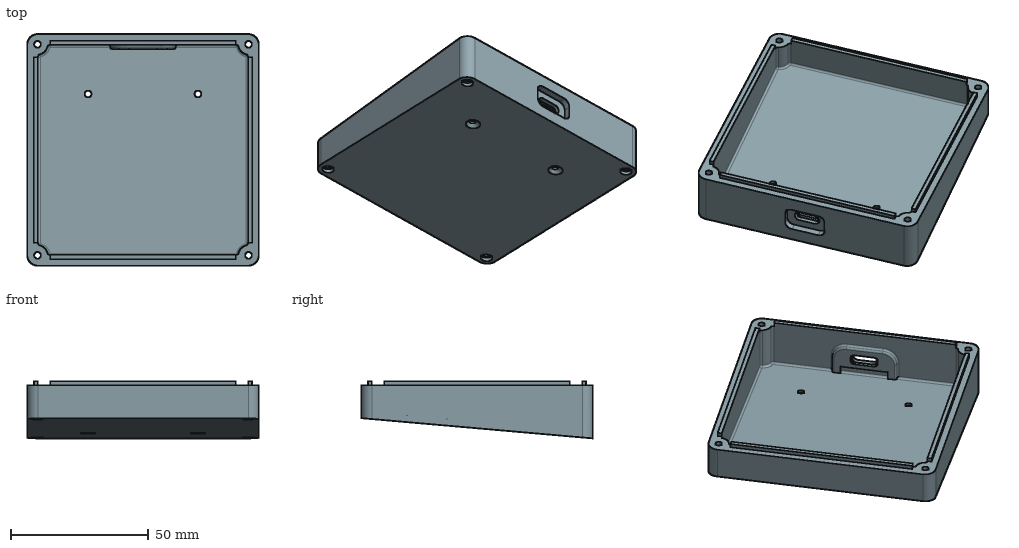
import cadquery as cq
import math

side = 84.45
total_height = 20.9
lip_height = 1.4
corner_radius = 4.0
slope_angle = 5.0
half_side = side / 2
rim_height = total_height - lip_height

wall = 4.0
floor_thickness = 2.5
cavity_fillet = 1.0
floor_fillet = 0.8
inner_face = half_side - wall

post_radius = 3.7
hole_inset = 3.8
hole_diameter = 2.4
counterbore_diameter = 4.2
counterbore_depth = 1.7
hole_offset = half_side - hole_inset

lip_outer_inset = 2.45
lip_end_inset = 8.45
lip_width = wall - lip_outer_inset
lip_length = side - 2 * lip_end_inset

floor_hole_spacing = 40.0
floor_hole_y = 20.35
countersink_diameter = 5.2
countersink_angle = 90.0

pad_width = 23.9
pad_thickness = 1.5
pad_height = 11.8
pad_corner_radius = 5.2
pad_fillet = 0.72

notch_width = 17.6
notch_height = 3.1
notch_depth = 1.0

slot_center_height = 6.8
slot_length = 9.5
slot_height = 3.7
recess_length = 10.1
recess_height = 4.0
recess_corner_radius = 1.5
recess_depth = 1.2
pocket_length = 15.2
pocket_height = 9.3
pocket_corner_radius = 2.5
pocket_depth = 2.5


def bottom_height(y):
    """Height of the sloped underside at a given Y."""
    return (half_side - y) * math.tan(math.radians(slope_angle))


def above_slope(thickness):
    """Large block above a plane lying the given thickness over the underside."""
    rise = thickness / math.cos(math.radians(slope_angle))
    profile = [
        (side, bottom_height(side) + rise),
        (-side, bottom_height(-side) + rise),
        (-side, side),
        (side, side),
    ]
    return cq.Workplane("YZ").polyline(profile).close().extrude(side, both=True)


floor_height = bottom_height(inner_face) + floor_thickness
pad_face = inner_face - pad_thickness
slot_z = floor_height + slot_center_height


def make_cavity():
    posts = (
        cq.Workplane("XY")
        .rect(2 * hole_offset, 2 * hole_offset, forConstruction=True)
        .vertices()
        .circle(post_radius)
        .extrude(rim_height)
    )
    cavity = cq.Workplane("XY").rect(2 * inner_face, 2 * inner_face).extrude(rim_height).cut(posts)
    cavity = cavity.edges("|Z").fillet(cavity_fillet)
    cavity = cavity.intersect(above_slope(floor_thickness))
    return cavity.faces("<Z").edges().fillet(floor_fillet)


def make_body():
    block = cq.Workplane("XY").rect(side, side).extrude(rim_height).edges("|Z").fillet(corner_radius)
    return block.intersect(above_slope(0)).cut(make_cavity())


def make_lip():
    """Lip strip along the rear wall, flush with its inner face."""
    return (
        cq.Workplane("XY", origin=(0, inner_face + lip_width / 2, rim_height))
        .rect(lip_length, lip_width)
        .extrude(lip_height)
    )


def make_pad():
    """Pad blended into a backing slab that lies inside the rear wall; its foot sinks into the floor."""
    base = floor_height - floor_thickness / 2
    top = floor_height + pad_height
    pad = (
        cq.Workplane("XZ", origin=(0, inner_face, base))
        .center(0, (top - base) / 2)
        .rect(pad_width, top - base)
        .extrude(pad_thickness)
        .edges("|Y and >Z")
        .fillet(pad_corner_radius)
    )
    margin = 2 * pad_fillet
    backing_width = pad_width + 2 * margin
    backing_height = top + margin - base
    backing = (
        cq.Workplane("XZ", origin=(0, half_side - wall / 2, base))
        .center(0, backing_height / 2)
        .rect(backing_width, backing_height)
        .extrude(wall / 2)
    )
    reach = pad_fillet / 2
    rounded_edges = cq.selectors.BoxSelector(
        (-pad_width / 2 - reach, pad_face - reach, base + reach),
        (pad_width / 2 + reach, inner_face + reach, top + reach),
    )
    return backing.union(pad).edges("not |Y").edges(rounded_edges).fillet(pad_fillet)


def make_notch():
    """Cutter for the notch, standing on the floor with a rounded rear bottom edge."""
    block = cq.Workplane("XY").box(
        notch_width, 2 * pad_thickness, floor_height + notch_height, centered=(True, False, False)
    ).translate((0, pad_face + notch_depth - 2 * pad_thickness, 0))
    block = block.intersect(above_slope(floor_thickness))
    return block.faces(">Y").edges("<Z").fillet(floor_fillet)


def rounded_block(rear_y, length, height, radius, depth):
    """Block centred on the slot, running forward from rear_y, with rounded corners."""
    return (
        cq.Workplane("XZ", origin=(0, rear_y, slot_z))
        .rect(length, height)
        .extrude(depth)
        .edges("|Y")
        .fillet(radius)
    )


def make_slot():
    through = (
        cq.Workplane("XZ", origin=(0, half_side, slot_z))
        .slot2D(slot_length, slot_height)
        .extrude(half_side - pad_face)
    )
    recess = rounded_block(
        pad_face + recess_depth, recess_length, recess_height, recess_corner_radius, recess_depth
    )
    pocket = rounded_block(
        half_side, pocket_length, pocket_height, pocket_corner_radius, pocket_depth
    )
    return through.union(recess).union(pocket)


def screw_hole(x, y):
    return cq.Workplane("XY", origin=(x, y, 0)).circle(hole_diameter / 2).extrude(total_height)


def make_corner_hole(x, y):
    counterbore = (
        cq.Workplane("XY", origin=(x, y, 0))
        .circle(counterbore_diameter / 2)
        .extrude(bottom_height(y) + counterbore_depth)
    )
    return screw_hole(x, y).union(counterbore)


def make_floor_hole(x, y):
    """Through hole with a cone that has the countersink diameter at the underside."""
    cone_slope = math.tan(math.radians(countersink_angle / 2))
    tip_height = bottom_height(y) + countersink_diameter / 2 / cone_slope
    cone = (
        cq.Workplane("XZ")
        .polyline([(0, 0), (tip_height * cone_slope, 0), (0, tip_height)])
        .close()
        .revolve(360, (0, 0, 0), (0, 1, 0))
        .translate((x, y, 0))
    )
    return screw_hole(x, y).union(cone)


result = make_body()
for quarter in range(4):
    result = result.union(make_lip().rotate((0, 0, 0), (0, 0, 1), 90 * quarter))
result = result.union(make_pad()).cut(make_notch()).cut(make_slot())
for x_side in (-1, 1):
    for y_side in (-1, 1):
        result = result.cut(make_corner_hole(x_side * hole_offset, y_side * hole_offset))
    result = result.cut(make_floor_hole(x_side * floor_hole_spacing / 2, floor_hole_y))